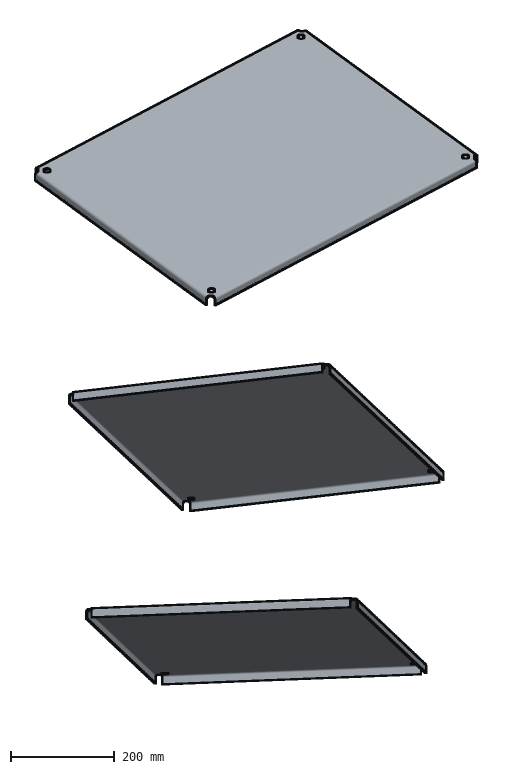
import cadquery as cq

length_x = 533.4
length_y = 685.8
height = 19.05

thickness = 2.45
bend_outer_radius = 5.9
bend_inner_radius = bend_outer_radius - thickness

relief_size = 12.85
relief_radius = relief_size - bend_outer_radius
hole_diameter = 13.0
hole_edge_distance = 22.225


def corner_points(inset):
    """Four points set in from the outer corners by the same amount in X and Y."""
    x = length_x / 2 - inset
    y = length_y / 2 - inset
    return [(-x, -y), (x, -y), (x, y), (-x, y)]


def rounded_block(size_x, size_y, size_z, top_radius):
    """Block standing on Z = 0 with its four top edges rounded."""
    block = cq.Workplane("XY").box(size_x, size_y, size_z, centered=(True, True, False))
    return block.faces(">Z").edges().fillet(top_radius)


def folded_sheet():
    """Sheet panel with a flange bent down along each of its four sides."""
    outside = rounded_block(length_x, length_y, height, bend_outer_radius)
    inside = rounded_block(
        length_x - 2 * thickness,
        length_y - 2 * thickness,
        height - thickness,
        bend_inner_radius,
    )
    return outside.cut(inside)


def corner_reliefs():
    """Square notches separating the flanges, each with its inner corner rounded up to the bend lines."""
    notches = cq.Workplane("XY").pushPoints(corner_points(0)).rect(2 * relief_size, 2 * relief_size)
    return notches.extrude(height).edges("|Z").fillet(relief_radius)


def mounting_holes():
    """One through hole near each corner of the panel."""
    centres = corner_points(hole_edge_distance)
    return cq.Workplane("XY").pushPoints(centres).circle(hole_diameter / 2).extrude(height)


result = folded_sheet().cut(corner_reliefs()).cut(mounting_holes())